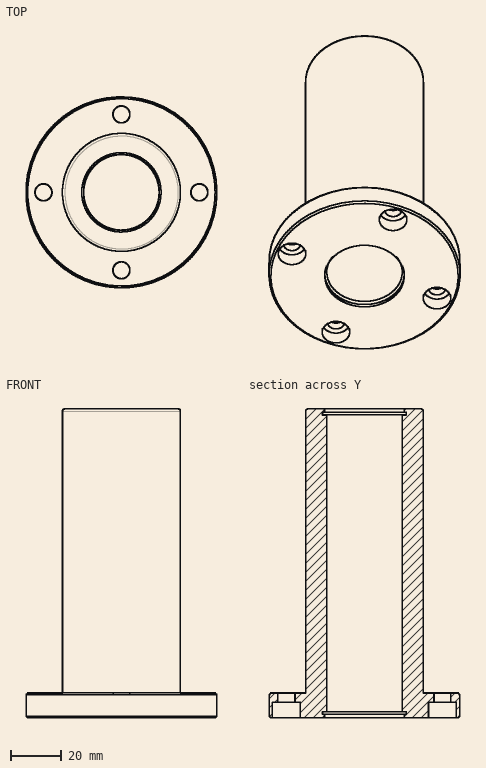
import cadquery as cq

total_height = 123.0
flange_diameter = 76.0
flange_thickness = 10.0
tube_diameter = 47.0
bore_diameter = 30.0

lip_diameter = 31.6
lip_depth = 1.5
groove_diameter = 33.2
groove_depth = 2.5

hole_count = 4
hole_diameter = 6.6
hole_circle_diameter = 62.0
counterbore_diameter = 11.0
counterbore_depth = 6.2

rim_radius = 1.0
flange_chamfer = 0.7


def make_cylinder(diameter, bottom, top):
    return cq.Workplane("XY").workplane(offset=bottom).circle(diameter / 2).extrude(top - bottom)


def make_flange():
    return make_cylinder(flange_diameter, 0, flange_thickness).faces("<Z or >Z").edges().chamfer(flange_chamfer)


def make_tube():
    return make_cylinder(tube_diameter, 0, total_height).faces(">Z").edges().fillet(rim_radius)


def make_bore():
    top_lip = make_cylinder(lip_diameter, total_height - lip_depth, total_height)
    top_groove = make_cylinder(groove_diameter, total_height - groove_depth, total_height - lip_depth)
    bottom_lip = make_cylinder(lip_diameter, 0, lip_depth)
    bottom_groove = make_cylinder(groove_diameter, lip_depth, groove_depth)
    bore = make_cylinder(bore_diameter, 0, total_height)
    for widening in (top_lip, top_groove, bottom_lip, bottom_groove):
        bore = bore.union(widening)
    return bore


def make_hole_ring(diameter, depth):
    return (
        cq.Workplane("XY")
        .polarArray(hole_circle_diameter / 2, 0, 360, hole_count)
        .circle(diameter / 2)
        .extrude(depth)
    )


result = (
    make_flange()
    .union(make_tube())
    .cut(make_bore())
    .cut(make_hole_ring(hole_diameter, flange_thickness))
    .cut(make_hole_ring(counterbore_diameter, counterbore_depth))
)